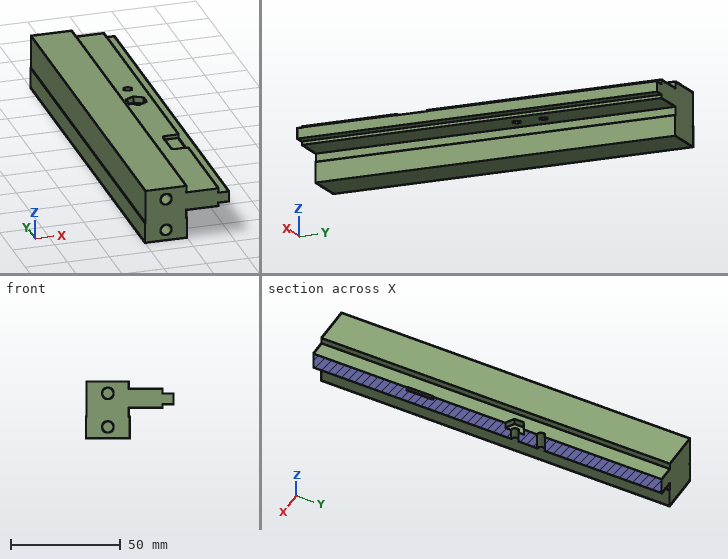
import cadquery as cq

length = 180.0
width = 40.0
height = 26.0

foot_width = 20.0
foot_height = 9.9
body_relief = 0.2
foot_relief = 0.4
body_right = foot_width - foot_relief

flange_edge = 35.0
flange_bottom = 13.9
flange_top = 22.7
tongue_bottom = 15.5
tongue_top = 20.5

end_hole_diameter = 5.2
end_hole_depth = 18.0
end_hole_x = foot_width / 2
end_hole_heights = (5.2, 20.5)

screw_diameter = 3.8
screw_x = 27.4
nut_y = 104.0
plain_hole_y = 117.5
nut_across_corners = 9.5
nut_depth = 3.0

pocket_x = 27.2
pocket_start = 47.5
pocket_length = 15.1
pocket_depth = 1.8
pocket_radius = 1.5


def box(x_start, x_end, y_start, y_end, z_start, z_end):
    size = (x_end - x_start, y_end - y_start, z_end - z_start)
    return cq.Workplane("XY").box(*size, centered=False).translate((x_start, y_start, z_start))


def make_blank():
    foot = box(0, foot_width, 0, length, 0, foot_height)
    body = box(body_relief, body_right, 0, length, foot_height, height)
    flange = box(body_right, flange_edge, 0, length, flange_bottom, flange_top)
    tongue = box(body_right, width, 0, length, tongue_bottom, tongue_top)
    return foot.union(body).union(flange).union(tongue)


def make_end_holes():
    centers = [(end_hole_x, z) for z in end_hole_heights]
    return cq.Workplane("XZ").pushPoints(centers).circle(end_hole_diameter / 2).extrude(-end_hole_depth)


def make_screw_holes():
    centers = [(screw_x, nut_y), (screw_x, plain_hole_y)]
    return cq.Workplane("XY").pushPoints(centers).circle(screw_diameter / 2).extrude(height)


def make_nut_recess():
    recess = cq.Workplane("XY").polygon(6, nut_across_corners).extrude(nut_depth)
    recess = recess.rotate((0, 0, 0), (0, 0, 1), 90)
    return recess.translate((screw_x, nut_y, flange_top - nut_depth))


def make_pocket():
    pocket = box(
        pocket_x, flange_edge,
        pocket_start, pocket_start + pocket_length,
        flange_top - pocket_depth, flange_top,
    )
    return pocket.edges("|Z and <X").fillet(pocket_radius)


result = (
    make_blank()
    .cut(make_end_holes())
    .cut(make_screw_holes())
    .cut(make_nut_recess())
    .cut(make_pocket())
)